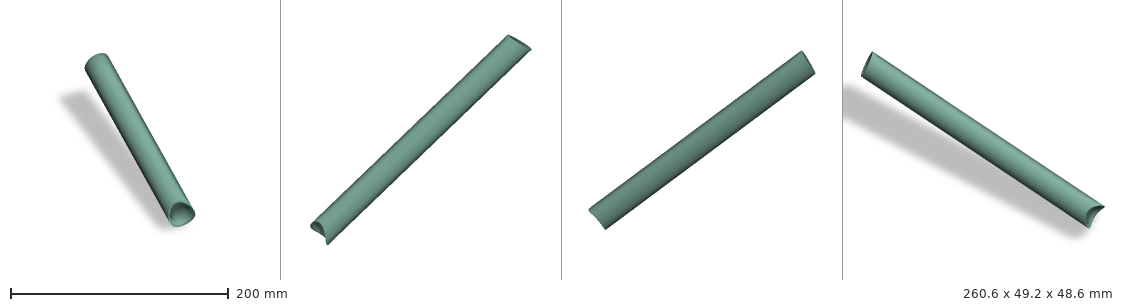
import cadquery as cq

tube_diameter = 25.0
wall = 1.5
slope = 0.095
blank_start = -15.6
blank_end = 276.3

end_lean_y = -0.15
end_lean_z = 0.29
cutter_size = 104.3

saddle_radius = 16.2
saddle_floor_x = 248.5
saddle_lean_x = -0.15
saddle_lean_y = -0.4
saddle_offset_y = -2.5
saddle_length = 104.3

tube_direction = cq.Vector(1, -slope, -slope)


def rod(center, direction, radius, length):
    """Solid cylinder centered on a point along a direction."""
    start = center - direction.normalized() * (length / 2)
    return cq.Workplane(cq.Solid.makeCylinder(radius, length, start, direction))


def make_tube():
    center = tube_direction * ((blank_start + blank_end) / 2)
    length = tube_direction.Length * (blank_end - blank_start)
    outer_radius = tube_diameter / 2
    outside = rod(center, tube_direction, outer_radius, length)
    return outside.cut(rod(center, tube_direction, outer_radius - wall, length))


def slanted_end_cutter():
    outward = cq.Vector(-1, end_lean_y, end_lean_z)
    plane = cq.Plane(origin=(0, 0, 0), normal=outward.toTuple())
    return cq.Workplane(plane).rect(cutter_size, cutter_size).extrude(cutter_size)


def saddle_cutter():
    direction = cq.Vector(saddle_lean_x, saddle_lean_y, 1)
    axis_point = tube_direction * saddle_floor_x + cq.Vector(saddle_radius, saddle_offset_y, 0)
    return rod(axis_point, direction, saddle_radius, saddle_length)


result = make_tube().cut(slanted_end_cutter()).cut(saddle_cutter())
result = result.solids("<X")